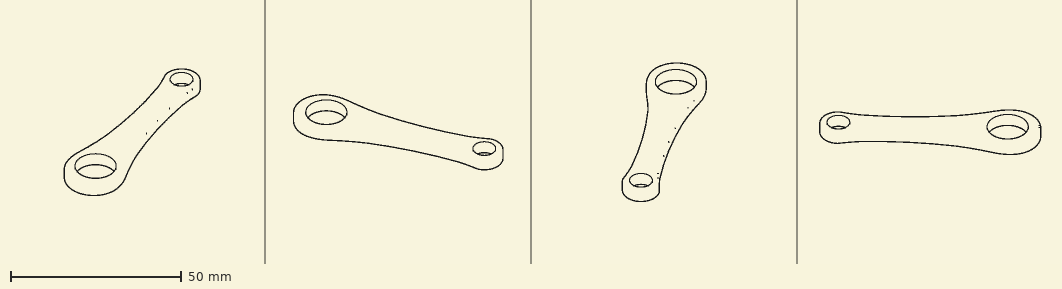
import cadquery as cq

length = 65.0
thickness = 4.0
edge_round = 0.6

large_hole_diameter = 12.1
small_hole_diameter = 6.7
small_eye_radius = 5.5
large_end_y = -9.75
small_end_y = large_end_y + length
small_hole_y = small_end_y - small_eye_radius

large_eye_half_width = 8.7
large_cap_half_width, large_cap_y = 8.5, -2.85
large_neck_half_width, large_neck_y = 8.05, 3.7
flare_half_width, flare_y = 6.4, 9.4
shank_low_half_width, shank_low_y = 5.25, 14.95
waist_half_width, waist_y = 3.95, 31.2
shank_high_half_width, shank_high_y = 4.3, 43.1
small_neck_half_width, small_neck_y = 4.8, 46.4


def link_outline():
    """Closed outline of the link, drawn anticlockwise from the large end."""
    side_start = (large_cap_half_width, large_cap_y)
    side_arcs = [
        ((large_eye_half_width, 0), (large_neck_half_width, large_neck_y)),
        ((flare_half_width, flare_y), (shank_low_half_width, shank_low_y)),
        ((waist_half_width, waist_y), (shank_high_half_width, shank_high_y)),
        ((small_neck_half_width, small_neck_y), (small_eye_radius, small_hole_y)),
    ]
    outline = cq.Workplane("XY").moveTo(*side_start)
    for middle, end in side_arcs:
        outline = outline.threePointArc(middle, end)
    outline = outline.threePointArc((0, small_end_y), (-small_eye_radius, small_hole_y))

    arc_ends = [side_start] + [end for _, end in side_arcs[:-1]]
    for (middle, _), end in zip(reversed(side_arcs), reversed(arc_ends)):
        outline = outline.threePointArc((-middle[0], middle[1]), (-end[0], end[1]))
    return outline.threePointArc((0, large_end_y), side_start).close()


body = link_outline().extrude(thickness)
body = body.faces("<Z or >Z").edges().fillet(edge_round)

for hole_y, diameter in [(0, large_hole_diameter), (small_hole_y, small_hole_diameter)]:
    hole = cq.Workplane("XY").center(0, hole_y).circle(diameter / 2).extrude(thickness)
    body = body.cut(hole)

result = body